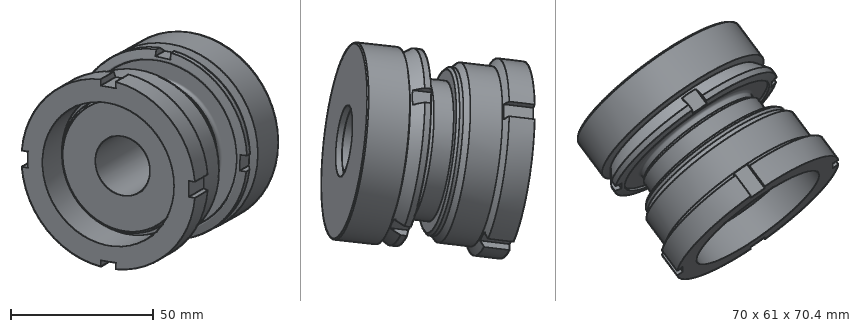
import cadquery as cq
import math

outer_radius = 70.0 / 2
thread_radius = 25.0
slot_width = 6.0
slot_depth = 2.5
slot_floor_radius = outer_radius - slot_depth
slot_count = 4

sleeve_length = 27.0
sleeve_body_radius = 32.0
sleeve_nose_radius = 30.0
sleeve_nose_edge = 1.0
flange_rim_end = 9.3
flange_taper_end = flange_rim_end + (outer_radius - sleeve_body_radius) * math.tan(math.radians(30))
shoulder_start = 22.65
shoulder_end = shoulder_start + sleeve_body_radius - sleeve_nose_radius
pocket_radius = 26.5
pocket_depth = 14.1

bore_radius = 11.01
spindle_start = 10.4
spindle_edge = 0.85
neck_radius = 24.0
thread_end = 34.1
neck_start = thread_end + thread_radius - neck_radius
neck_fillet = 1.0
head_face = 36.8
head_recess_depth = 1.0
head_floor = head_face + head_recess_depth
neck_fillet_start = head_floor - neck_fillet
head_recess_radius = 31.2
head_bevel_radius = outer_radius - 3.1
head_rim_start = 37.5
head_rim_end = 39.8
sphere_radius = 40.1
sphere_center = head_rim_end - math.sqrt(sphere_radius**2 - outer_radius**2)
head_turn = 2.4

washer_bevel_radius = outer_radius - 2.5
washer_front = 44.5
washer_rim_start = washer_front + 0.8
washer_mouth_radius = math.sqrt(sphere_radius**2 - (washer_front - sphere_center) ** 2)
washer_back = 60.6
washer_edge = 0.5
washer_bore_radius = 12.65
washer_tilt = 0.6


def revolve_about_y(outline):
    """Turn a (radius, y) outline into a solid of revolution about the Y axis."""
    return outline.close().revolve(360, (0, 0, 0), (0, 1, 0))


def sphere_depth(radius):
    """Depth of the spherical seat at a given distance from the Y axis."""
    return sphere_center + math.sqrt(sphere_radius**2 - radius**2)


def rim_slots(start, end):
    """Four blocks that cut the spanner slots into a rim, at the quarters of the circle."""
    blocks = cq.Workplane("XY")
    for index in range(slot_count):
        block = (
            cq.Workplane("XY")
            .box(slot_width, end - start, 2 * slot_depth, centered=(True, False, False))
            .translate((0, start, slot_floor_radius))
            .rotate((0, 0, 0), (0, 1, 0), index * 360 / slot_count)
        )
        blocks = blocks.add(block)
    return blocks.combine()


def make_sleeve():
    outline = cq.Workplane("XY").polyline([
        (pocket_radius, 0),
        (outer_radius, 0),
        (outer_radius, flange_rim_end),
        (sleeve_body_radius, flange_taper_end),
        (sleeve_body_radius, shoulder_start),
        (sleeve_nose_radius, shoulder_end),
        (sleeve_nose_radius, sleeve_length - sleeve_nose_edge),
        (sleeve_nose_radius - sleeve_nose_edge, sleeve_length),
        (thread_radius, sleeve_length),
        (thread_radius, pocket_depth),
        (pocket_radius, pocket_depth),
    ])
    return revolve_about_y(outline).cut(rim_slots(0, flange_taper_end))


def make_spindle():
    sphere_back = sphere_depth(bore_radius)
    mid_radius = (outer_radius + bore_radius) / 2
    fillet_step = neck_fillet * math.sin(math.radians(45))
    fillet_center_radius = neck_radius + neck_fillet
    outline = (
        cq.Workplane("XY")
        .moveTo(bore_radius, spindle_start)
        .lineTo(thread_radius - spindle_edge, spindle_start)
        .lineTo(thread_radius, spindle_start + spindle_edge)
        .lineTo(thread_radius, thread_end)
        .lineTo(neck_radius, neck_start)
        .lineTo(neck_radius, neck_fillet_start)
        .threePointArc(
            (fillet_center_radius - fillet_step, neck_fillet_start + fillet_step),
            (fillet_center_radius, head_floor),
        )
        .lineTo(head_recess_radius, head_floor)
        .lineTo(head_recess_radius, head_face)
        .lineTo(head_bevel_radius, head_face)
        .lineTo(outer_radius, head_rim_start)
        .lineTo(outer_radius, head_rim_end)
        .threePointArc((mid_radius, sphere_depth(mid_radius)), (bore_radius, sphere_back))
    )
    spindle = revolve_about_y(outline).cut(rim_slots(head_face, sphere_back))
    return spindle.rotate((0, 0, 0), (0, 1, 0), head_turn)


def make_washer():
    mid_radius = (washer_mouth_radius + washer_bore_radius) / 2
    outline = (
        cq.Workplane("XY")
        .moveTo(washer_bore_radius, sphere_depth(washer_bore_radius))
        .threePointArc((mid_radius, sphere_depth(mid_radius)), (washer_mouth_radius, washer_front))
        .lineTo(washer_bevel_radius, washer_front)
        .lineTo(outer_radius, washer_rim_start)
        .lineTo(outer_radius, washer_back - washer_edge)
        .lineTo(outer_radius - washer_edge, washer_back)
        .lineTo(washer_bore_radius, washer_back)
    )
    pivot = (0, sphere_center, 0)
    return revolve_about_y(outline).rotate(pivot, (1, sphere_center, 0), -washer_tilt)


sleeve = make_sleeve()
spindle = make_spindle()
washer = make_washer()

result = cq.Compound.makeCompound([sleeve.val(), spindle.val(), washer.val()])